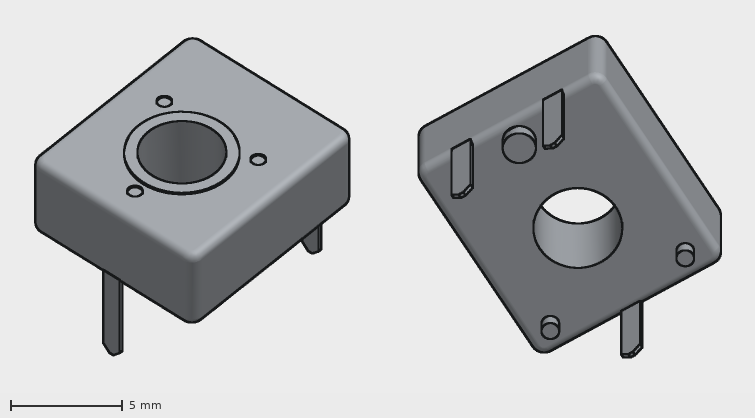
import cadquery as cq

body_width = 9.8
body_length = 11.0
body_height = 4.4
corner_radius = 0.6
edge_radius = 0.4

bore_y = -0.7
bore_diameter = 4.0
collar_diameter = 5.2
collar_height = 0.1

dimple_diameter = 0.7
dimple_depth = 0.1
side_dimple_x = 2.82
side_dimple_y = 1.3
front_dimple_y = -3.89

foot_height = 0.73
small_foot_diameter = 0.8
small_foot_x = 3.54
small_foot_y = -4.19
large_foot_diameter = 1.5
large_foot_y = 4.4

pin_width = 1.0
pin_thickness = 0.2
pin_top = 0.3
pin_length_below_body = 4.7
pin_tip_height = 0.38
pin_tip_width = 0.24
rear_pin_x = 2.4


def make_housing():
    block = cq.Workplane("XY").box(body_width, body_length, body_height, centered=(True, True, False))
    return block.edges("|Z").fillet(corner_radius).faces("<Z or >Z").edges().fillet(edge_radius)


def cylinders(points, diameter, bottom, height):
    return cq.Workplane("XY", origin=(0, 0, bottom)).pushPoints(points).circle(diameter / 2).extrude(height)


def make_pin(center_x, front_y):
    """Flat pin with a blunt pointed tip, running from front_y toward +Y."""
    tip_z = -pin_length_below_body
    shoulder_z = tip_z + pin_tip_height
    outline = [
        (-pin_width / 2, pin_top),
        (pin_width / 2, pin_top),
        (pin_width / 2, shoulder_z),
        (pin_tip_width / 2, tip_z),
        (-pin_tip_width / 2, tip_z),
        (-pin_width / 2, shoulder_z),
    ]
    plane = cq.Workplane("XZ", origin=(center_x, front_y, 0))
    return plane.polyline(outline).close().extrude(-pin_thickness)


result = make_housing()

bore_center = [(0, bore_y)]
small_feet = [(-small_foot_x, small_foot_y), (small_foot_x, small_foot_y)]
result = result.union(cylinders(bore_center, collar_diameter, body_height, collar_height))
result = result.union(cylinders(small_feet, small_foot_diameter, -foot_height, foot_height))
result = result.union(cylinders([(0, large_foot_y)], large_foot_diameter, -foot_height, foot_height))

front_pin_y = -body_length / 2
rear_pin_y = body_length / 2 - pin_thickness
for pin_x, pin_y in [(0, front_pin_y), (-rear_pin_x, rear_pin_y), (rear_pin_x, rear_pin_y)]:
    result = result.union(make_pin(pin_x, pin_y))

dimples = [(-side_dimple_x, side_dimple_y), (side_dimple_x, side_dimple_y), (0, front_dimple_y)]
result = result.cut(cylinders(bore_center, bore_diameter, 0, body_height + collar_height))
result = result.cut(cylinders(dimples, dimple_diameter, body_height - dimple_depth, dimple_depth))